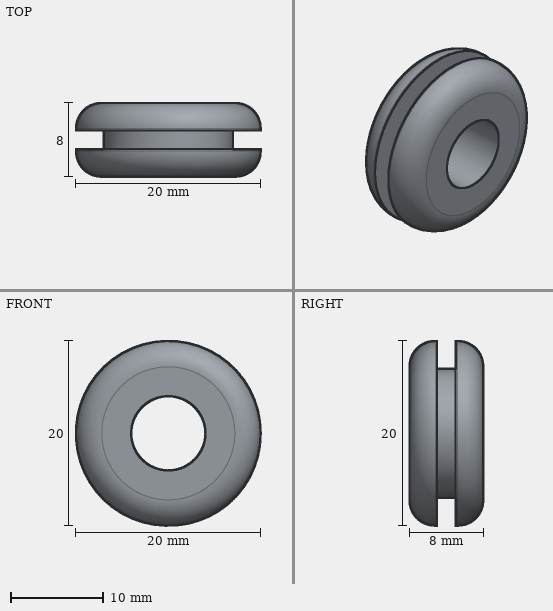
import cadquery as cq

outer_diameter = 20.0
bore_diameter = 8.0
groove_diameter = 14.0
flange_thickness = 3.0
groove_width = 2.0
rim_radius = 2.8

total_width = 2 * flange_thickness + groove_width


def cylinder_along_y(diameter, width):
    """Cylinder on the Y axis, centred on the origin."""
    start = cq.Workplane("XZ").workplane(offset=-width / 2)
    return start.circle(diameter / 2).extrude(width)


body = cylinder_along_y(outer_diameter, total_width).edges("%CIRCLE").fillet(rim_radius)

groove = cylinder_along_y(outer_diameter, groove_width).cut(
    cylinder_along_y(groove_diameter, groove_width)
)

bore = cylinder_along_y(bore_diameter, total_width)

result = body.cut(groove).cut(bore)